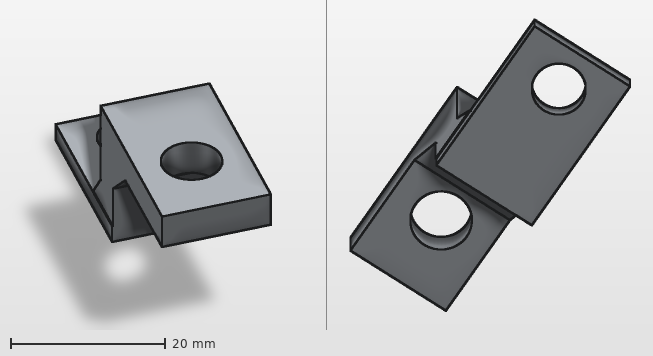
import cadquery as cq

length = 43.0
width = 15.0
height = 18.65

foot_length = 23.0
foot_thickness = 2.6
foot_shift = 0.1
wall_thickness = 5.0
arm_thickness = wall_thickness

foot_brace_length = 2.95
foot_brace_height = 3.95
arm_brace_size = 5.0

foot_hole_diameter = 7.0
foot_hole_x = 5.45
arm_hole_diameter = 8.0
arm_hole_x = (foot_length + length) / 2

wall_front = foot_length - wall_thickness
body_width = width - foot_shift


def extrude_profile(points, y_start):
    """Extrude an XZ outline towards +Y from y_start."""
    return cq.Workplane("XZ", origin=(0, y_start, 0)).polyline(points).close().extrude(-body_width)


def vertical_hole(x, y, diameter):
    """Cutter passing through the full height."""
    return cq.Workplane("XY").center(x, y).circle(diameter / 2).extrude(height)


foot = cq.Workplane("XY").box(foot_length, body_width, foot_thickness, centered=False)

upper_outline = [
    (wall_front - foot_brace_length, foot_thickness),
    (foot_length, foot_thickness),
    (foot_length, height - arm_thickness - arm_brace_size),
    (foot_length + arm_brace_size, height - arm_thickness),
    (length, height - arm_thickness),
    (length, height),
    (wall_front, height),
    (wall_front, foot_thickness + foot_brace_height),
]
upper = extrude_profile(upper_outline, foot_shift)

result = (
    foot.union(upper)
    .cut(vertical_hole(foot_hole_x, width / 2, foot_hole_diameter))
    .cut(vertical_hole(arm_hole_x, width / 2, arm_hole_diameter))
)